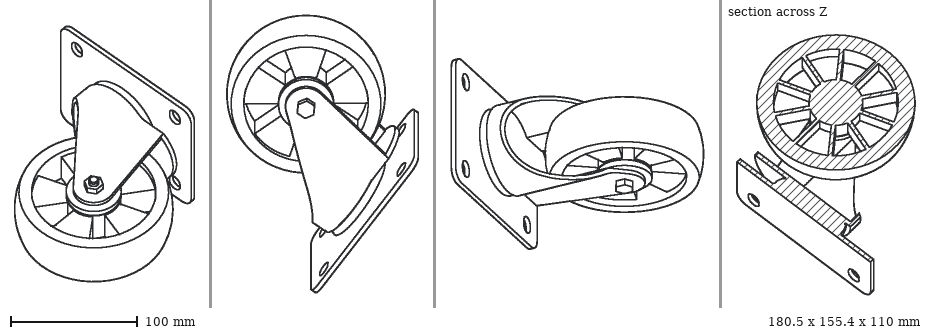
import cadquery as cq
import math


OVERALL_LENGTH = 180.5

PLATE_LENGTH = 140.2
PLATE_WIDTH = 110.0
PLATE_THICKNESS = 4.0
PLATE_CORNER_RADIUS = 10.0
HOLE_SPACING_X = 105.0
HOLE_SPACING_Z = 77.6
HOLE_LENGTH = 13.7
HOLE_WIDTH = 11.0

BEARING_PLATE_RADIUS = 37.4
BEARING_GROOVE_RADIUS = 35.0
BEARING_RIM_RADIUS = 35.2
BEARING_BOTTOM_RADIUS = 33.0
BEARING_NECK_RADIUS = 31.5
BEARING_RIM_DEPTH = 7.2
BEARING_NECK_GAP = 0.7

FORK_TOP = 14.0
FORK_RADIUS = 73.5 / 2
FORK_WALL = 3.5
FORK_TOP_THICKNESS = 4.0
ARM_OUTER_Z = 25.8
ARM_BLEND_RADIUS = 10.0
ARM_END_RADIUS = 16.2
ARM_TOP_X = 49.6
TAB_END_X = 63.9
FORK_REAR_DEPTH = 26.4
REAR_CURVE_END = (-5.0, -54.2)

AXLE_X = 47.8
AXLE_Y = -92.8
WHEEL_RADIUS = OVERALL_LENGTH - PLATE_LENGTH / 2 - AXLE_X
WHEEL_WIDTH = 40.3
WHEEL_SIDE_RADIUS = 59.0
RIM_RADIUS = 98.0 / 2
HUB_RADIUS = 21.3
WEB_WIDTH = 28.9
WEB_WALL = 3.6
POCKET_COUNT = 5
HUB_CAP_RADIUS = 43.5 / 2
HUB_CAP_WIDTH = 42.8
HUB_CAP_THICKNESS = 5.2

SPACER_DIAMETER = 15.0
BOLT_DIAMETER = 8.0
BOLT_TIP_Z = 34.8
BOLT_CHAMFER = 0.9
HEX_ACROSS_FLATS = 13.0
HEX_HEIGHT = 5.2


def make_plate():
    plate = (
        cq.Workplane("XZ")
        .rect(PLATE_LENGTH, PLATE_WIDTH)
        .extrude(PLATE_THICKNESS)
        .edges("|Y")
        .fillet(PLATE_CORNER_RADIUS)
    )
    holes = (
        cq.Workplane("XZ")
        .rect(HOLE_SPACING_X, HOLE_SPACING_Z, forConstruction=True)
        .vertices()
        .slot2D(HOLE_LENGTH, HOLE_WIDTH, 90)
        .extrude(PLATE_THICKNESS)
    )
    return plate.cut(holes)


def make_bearing():
    groove_y = -(PLATE_THICKNESS + BEARING_RIM_DEPTH) / 2
    neck_y = -(FORK_TOP - BEARING_NECK_GAP)
    return (
        cq.Workplane("XY")
        .moveTo(0, -PLATE_THICKNESS)
        .lineTo(BEARING_PLATE_RADIUS, -PLATE_THICKNESS)
        .threePointArc((BEARING_GROOVE_RADIUS, groove_y), (BEARING_RIM_RADIUS, -BEARING_RIM_DEPTH))
        .lineTo(BEARING_BOTTOM_RADIUS, neck_y)
        .lineTo(BEARING_NECK_RADIUS, neck_y)
        .lineTo(BEARING_NECK_RADIUS, -FORK_TOP)
        .lineTo(0, -FORK_TOP)
        .close()
        .revolve(360, (0, 0), (0, 1))
    )


def fork_outline(arm_end_x):
    """Open outer outline in the XZ plane: a round back blended into two straight arms."""
    blend_z = ARM_OUTER_Z + ARM_BLEND_RADIUS
    centre_distance = FORK_RADIUS + ARM_BLEND_RADIUS
    blend_x = math.sqrt(centre_distance**2 - blend_z**2)
    back_x = blend_x * FORK_RADIUS / centre_distance
    back_z = blend_z * FORK_RADIUS / centre_distance
    half_angle = math.atan2(blend_x, blend_z) / 2
    middle_x = blend_x - ARM_BLEND_RADIUS * math.sin(half_angle)
    middle_z = blend_z - ARM_BLEND_RADIUS * math.cos(half_angle)
    return (
        cq.Workplane("XZ", origin=(0, -FORK_TOP, 0))
        .moveTo(arm_end_x, -ARM_OUTER_Z)
        .lineTo(blend_x, -ARM_OUTER_Z)
        .threePointArc((middle_x, -middle_z), (back_x, -back_z))
        .threePointArc((-FORK_RADIUS, 0), (back_x, back_z))
        .threePointArc((middle_x, middle_z), (blend_x, ARM_OUTER_Z))
        .lineTo(arm_end_x, ARM_OUTER_Z)
    )


def axle_circle_point(angle):
    return (AXLE_X + ARM_END_RADIUS * math.cos(angle), AXLE_Y + ARM_END_RADIUS * math.sin(angle))


def tangent_angle(point, side):
    """Angle on the arm end circle where a line from the point touches it; side is +1 or -1."""
    dx = point[0] - AXLE_X
    dy = point[1] - AXLE_Y
    return math.atan2(dy, dx) + side * math.acos(ARM_END_RADIUS / math.hypot(dx, dy))


def make_fork_side():
    """Side silhouette of the fork in the XY plane, as a block across the full width."""
    front_top = (ARM_TOP_X, -FORK_TOP)
    front_angle = tangent_angle(front_top, -1)
    rear_angle = tangent_angle(REAR_CURVE_END, 1)
    return (
        cq.Workplane("XY")
        .moveTo(-FORK_RADIUS, -FORK_TOP)
        .lineTo(*front_top)
        .lineTo(*axle_circle_point(front_angle))
        .threePointArc(axle_circle_point(-math.pi / 2), axle_circle_point(rear_angle))
        .lineTo(*REAR_CURVE_END)
        .tangentArcPoint((-FORK_RADIUS, -FORK_REAR_DEPTH), relative=False)
        .close()
        .extrude(FORK_RADIUS, both=True)
    )


def make_fork():
    arm_end_x = AXLE_X + ARM_END_RADIUS
    depth = -AXLE_Y + ARM_END_RADIUS - FORK_TOP
    inner_radius = FORK_RADIUS - FORK_WALL
    inner_z = ARM_OUTER_Z - FORK_WALL
    inner_x = math.sqrt(inner_radius**2 - inner_z**2)
    walls = (
        fork_outline(arm_end_x)
        .lineTo(arm_end_x, inner_z)
        .lineTo(inner_x, inner_z)
        .threePointArc((-inner_radius, 0), (inner_x, -inner_z))
        .lineTo(arm_end_x, -inner_z)
        .close()
        .extrude(depth)
        .intersect(make_fork_side())
    )
    top = (
        fork_outline(ARM_TOP_X)
        .threePointArc((TAB_END_X, 0), (ARM_TOP_X, -ARM_OUTER_Z))
        .close()
        .extrude(FORK_TOP_THICKNESS)
    )
    return walls.union(top)


def axle_cylinder(radius, bottom_z, top_z):
    return cq.Workplane("XY", origin=(AXLE_X, AXLE_Y, bottom_z)).circle(radius).extrude(top_z - bottom_z)


def make_pocket(direction, bottom_z, top_z):
    """Sector of the web whose straight sides stand half a web wall inside the sector lines."""
    half_angle = math.pi / (2 * POCKET_COUNT)
    apex = WEB_WALL / 2 / math.sin(half_angle)
    reach = 2 * RIM_RADIUS
    spread = reach * math.tan(half_angle)
    wedge = (
        cq.Workplane("XY", origin=(AXLE_X, AXLE_Y, bottom_z))
        .transformed(rotate=(0, 0, direction))
        .polyline([(apex, 0), (apex + reach, -spread), (apex + reach, spread)])
        .close()
        .extrude(top_z - bottom_z)
    )
    ring = axle_cylinder(RIM_RADIUS, bottom_z, top_z).cut(axle_cylinder(HUB_RADIUS, bottom_z, top_z))
    return wedge.intersect(ring)


def make_wheel():
    half_width = WHEEL_WIDTH / 2
    half_web = WEB_WIDTH / 2
    half_cap = HUB_CAP_WIDTH / 2
    tyre = (
        cq.Workplane("XZ", origin=(AXLE_X, AXLE_Y, 0))
        .moveTo(RIM_RADIUS, -half_width)
        .lineTo(WHEEL_SIDE_RADIUS, -half_width)
        .threePointArc((WHEEL_RADIUS, 0), (WHEEL_SIDE_RADIUS, half_width))
        .lineTo(RIM_RADIUS, half_width)
        .close()
        .revolve(360, (0, 0), (0, 1))
    )
    web = axle_cylinder(RIM_RADIUS, -half_web, half_web)
    pitch = 360 / POCKET_COUNT
    for index in range(POCKET_COUNT):
        web = web.cut(make_pocket(180 + index * pitch, -half_web + WEB_WALL, half_web))
        web = web.cut(make_pocket(index * pitch, -half_web, half_web - WEB_WALL))
    hub = axle_cylinder(HUB_RADIUS, -half_cap, half_cap)
    upper_cap = axle_cylinder(HUB_CAP_RADIUS, half_cap - HUB_CAP_THICKNESS, half_cap)
    lower_cap = axle_cylinder(HUB_CAP_RADIUS, -half_cap, HUB_CAP_THICKNESS - half_cap)
    return tyre.union(web).union(hub).union(upper_cap).union(lower_cap)


def make_hexagon(bottom_z):
    """Bolt head or nut with its corners pointing along Y."""
    across_corners = HEX_ACROSS_FLATS / math.cos(math.pi / 6)
    return (
        cq.Workplane("XY", origin=(AXLE_X, AXLE_Y, bottom_z))
        .transformed(rotate=(0, 0, 90))
        .polygon(6, across_corners)
        .extrude(HEX_HEIGHT)
    )


def make_axle():
    spacer_z = ARM_OUTER_Z - FORK_WALL
    spacer = axle_cylinder(SPACER_DIAMETER / 2, -spacer_z, spacer_z)
    bolt = axle_cylinder(BOLT_DIAMETER / 2, -ARM_OUTER_Z, BOLT_TIP_Z).faces(">Z").chamfer(BOLT_CHAMFER)
    nut = make_hexagon(ARM_OUTER_Z)
    head = make_hexagon(-ARM_OUTER_Z - HEX_HEIGHT)
    return spacer.union(bolt).union(nut).union(head)


result = make_plate().union(make_bearing()).union(make_fork()).union(make_wheel()).union(make_axle())